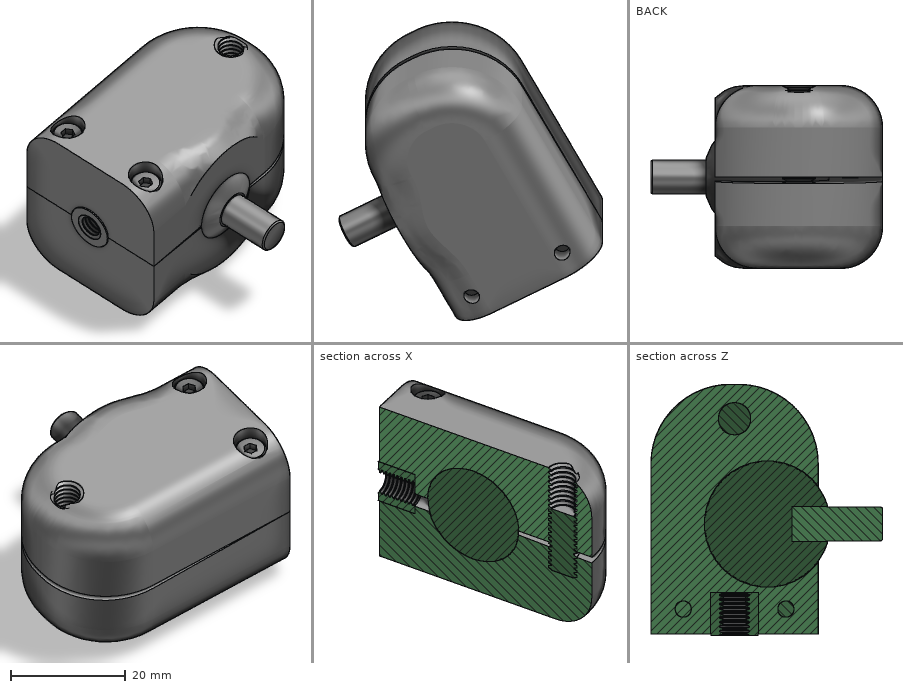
import cadquery as cq
import math


shell_width = 29.25
shell_length = 43.7
shell_height = 32.0
back_radius = 13.95
edge_radius = 7.4
bulge_depth = 2.15
shoulder_depth = 0.55
shoulder_offset = 7.65
bulge_front_length = 10.8
bulge_back_length = 10.1
gap_angle = 1.5

half_width = shell_width / 2
half_height = shell_height / 2
arc_start_y = shell_length - back_radius
back_flat_half = half_width - back_radius

ball_radius = 11.0
ball_x = 5.75
ball_y = 19.25
ball_face_x = 16.2
stud_radius = 3.0
stud_end_x = 25.9
stud_chamfer = 0.25
stud_socket_depth = 6.15

insert_radius = 4.15
insert_protrusion = 0.25
insert_thread_major = 2.55
insert_thread_minor = 1.95
insert_pitch = 0.8
insert_turns = 9.5
insert_length = insert_turns * insert_pitch
insert_depth = insert_length - insert_protrusion

set_screw_y = 37.65
set_screw_major = 2.9
set_screw_minor = 2.3
set_screw_pitch = 1.0
set_screw_turns = 13
hole_turns = 21.5
set_screw_bottom_z = half_height - hole_turns * set_screw_pitch

clamp_screw_x = 8.95
clamp_screw_y = 4.4
counterbore_radius = 3.0
head_radius = 2.72
head_edge_chamfer = 0.25
head_top_z = 13.98
head_height = 3.0
shank_radius = 1.35
shank_end_z = -12.3
hex_across_corners = 2.45
hex_depth = 1.3


def threaded_rod(major, minor, pitch, turns):
    """Rod along +Z with ring ridges for a thread, from a root at z = 0 through the given number of turns.

    Each turn is half a root land, a flank, a crest land, a flank and half a root land.
    """
    land = pitch / 4
    ridges = math.ceil(turns)
    profile = cq.Workplane("XZ").lineTo(minor, 0)
    for ridge in range(ridges):
        crest_z = (ridge + 0.5) * pitch
        profile = (
            profile.lineTo(minor, crest_z - 1.5 * land)
            .lineTo(major, crest_z - 0.5 * land)
            .lineTo(major, crest_z + 0.5 * land)
            .lineTo(minor, crest_z + 1.5 * land)
        )
    rod_end_z = ridges * pitch
    rod = profile.lineTo(minor, rod_end_z).lineTo(0, rod_end_z).close().revolve(360, (0, 0, 0), (0, 1, 0))
    return rod.intersect(cq.Workplane("XY").circle(major).extrude(turns * pitch))


def cylinder_along_x(radius, start_x, end_x):
    """Cylinder on the axis of the ball and stud."""
    return cq.Workplane("YZ", origin=(start_x, ball_y, 0)).circle(radius).extrude(end_x - start_x)


def cylinder_along_y(radius, start_y, end_y):
    """Cylinder on the axis of the insert."""
    return cq.Workplane("XZ", origin=(0, start_y, 0)).circle(radius).extrude(start_y - end_y)


def ball_sphere():
    return cq.Workplane("XY", origin=(ball_x, ball_y, 0)).sphere(ball_radius)


def upper_block():
    """Rounded half block; its +X side swells around the ball and is cut flat again."""
    arc_dip = back_radius * (1 - math.sqrt(0.5))
    outline = (
        cq.Workplane("XY")
        .moveTo(-half_width, 0)
        .lineTo(half_width, 0)
        .lineTo(half_width, ball_y - bulge_front_length)
        .spline(
            [
                (half_width + shoulder_depth, ball_y - shoulder_offset),
                (half_width + bulge_depth, ball_y),
                (half_width + shoulder_depth, ball_y + shoulder_offset),
                (half_width, ball_y + bulge_back_length),
            ],
            tangents=[(0, 1), (0, 1)],
            includeCurrent=True,
        )
        .lineTo(half_width, arc_start_y)
        .threePointArc((half_width - arc_dip, shell_length - arc_dip), (back_flat_half, shell_length))
        .lineTo(-back_flat_half, shell_length)
        .threePointArc((arc_dip - half_width, shell_length - arc_dip), (-half_width, arc_start_y))
        .close()
    )
    block = outline.extrude(half_height)
    block = block.faces(">Z").edges("not <Y").fillet(edge_radius)
    envelope = cq.Workplane("XY").box(shell_width, 2 * shell_length, 2 * shell_height)
    return block.intersect(envelope)


def set_screw_thread(turns):
    """Threaded rod that starts at the lower end of the set screw; the screw and its hole share it."""
    rod = threaded_rod(set_screw_major, set_screw_minor, set_screw_pitch, turns)
    return rod.translate((0, set_screw_y, set_screw_bottom_z))


def cut_shared_holes(shell):
    """Ball seat, insert pocket, clearance bore from the pocket to the ball, and set screw hole."""
    shell = shell.cut(ball_sphere())
    shell = shell.cut(cylinder_along_y(insert_radius, 0, insert_depth))
    shell = shell.cut(cylinder_along_y(insert_thread_major, 0, ball_y))
    return shell.cut(set_screw_thread(hole_turns))


def clamp_screw_places():
    return [(-clamp_screw_x, clamp_screw_y), (clamp_screw_x, clamp_screw_y)]


def clamp_holes():
    """Through holes for the clamp screws, with counterbores for their heads."""
    shanks = (
        cq.Workplane("XY", origin=(0, 0, -half_height))
        .pushPoints(clamp_screw_places())
        .circle(shank_radius)
        .extrude(shell_height)
    )
    counterbores = (
        cq.Workplane("XY", origin=(0, 0, head_top_z - head_height))
        .pushPoints(clamp_screw_places())
        .circle(counterbore_radius)
        .extrude(shell_height)
    )
    return shanks.union(counterbores)


def gap_wedge():
    """Wedge that opens from the front edge toward the back."""
    drop = shell_length * math.tan(math.radians(gap_angle))
    return (
        cq.Workplane("YZ", origin=(-half_width, 0, 0))
        .polyline([(0, 0), (shell_length, 0), (shell_length, -drop)])
        .close()
        .extrude(shell_width)
    )


def upper_shell_body():
    return cut_shared_holes(upper_block()).cut(clamp_holes())


def lower_shell_body():
    block = upper_block().mirror("XY").cut(gap_wedge())
    return cut_shared_holes(block).cut(clamp_holes())


def stud_body():
    stud = cylinder_along_x(stud_radius, ball_face_x - stud_socket_depth, stud_end_x)
    return stud.faces(">X").chamfer(stud_chamfer)


def ball_body():
    """Ball with a flat face and a socket for the stud."""
    beyond_face = cylinder_along_x(ball_radius, ball_face_x, stud_end_x)
    return ball_sphere().cut(beyond_face).cut(stud_body())


def insert_body():
    """Round insert with a threaded bore along Y."""
    bore = threaded_rod(insert_thread_major, insert_thread_minor, insert_pitch, insert_turns)
    bore = bore.rotate((0, 0, 0), (1, 0, 0), 90).translate((0, insert_depth, 0))
    return cylinder_along_y(insert_radius, -insert_protrusion, insert_depth).cut(bore)


def clamp_screw_body(x, y):
    """Socket head screw; its head rests on the counterbore floor."""
    head = (
        cq.Workplane("XY", origin=(x, y, head_top_z - head_height))
        .circle(head_radius)
        .extrude(head_height)
        .faces(">Z")
        .chamfer(head_edge_chamfer)
    )
    shank = (
        cq.Workplane("XY", origin=(x, y, shank_end_z))
        .circle(shank_radius)
        .extrude(head_top_z - head_height - shank_end_z)
    )
    socket = (
        cq.Workplane("XY", origin=(x, y, head_top_z))
        .transformed(rotate=(0, 0, 90))
        .polygon(6, hex_across_corners)
        .extrude(-hex_depth)
    )
    return head.union(shank).cut(socket)


upper_shell = upper_shell_body()
lower_shell = lower_shell_body()
ball = ball_body()
stud = stud_body()
insert = insert_body()
set_screw = set_screw_thread(set_screw_turns)
clamp_screws = [clamp_screw_body(x, y) for x, y in clamp_screw_places()]

result = cq.Compound.makeCompound(
    [
        upper_shell.val(),
        lower_shell.val(),
        ball.val(),
        stud.val(),
        insert.val(),
        set_screw.val(),
        *[screw.val() for screw in clamp_screws],
    ]
)